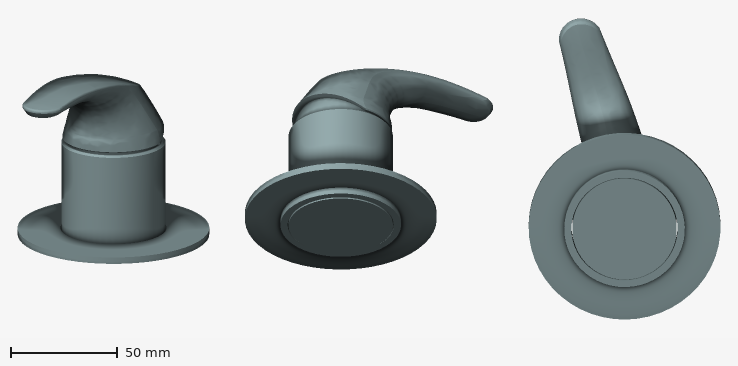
import cadquery as cq
import math

plate_diameter = 90.0
boss_diameter = 56.5
bore_diameter = 49.9
boss_bottom = 0.4
plate_bottom = 3.7
plate_top = 6.8

sleeve_diameter = 49.0
sleeve_top = 50.1
sleeve_chamfer = 0.9
ball_radius = 22.6
ball_center_z = 48.9
skirt_radius = 24.1
skirt_bottom = 51.4
skirt_back_angle = 24.4

lever_reach = 126.2 - plate_diameter / 2
tip_radius = 10.4
nose_z = 87.0
nose_slope = 35.0
crown_radius = 40.4
rim_fillet = 1.1
skirt_chamfer = 0.5

block_size = 75.7
envelope_half_width = 27.8

lever_top = 91.5
crown_top_y = -51.8
swing_radius = 138.9

quarter_pull = 4 / 3 * (math.sqrt(2) - 1)

lever_sections = [
    (0.0, skirt_bottom, 90.0, skirt_radius, skirt_radius, skirt_radius),
    (0.0, 59.8, 85.0, 22.1, 22.0, 24.0),
    (-5.0, 71.0, 75.0, 17.7, 18.0, 20.5),
    (-11.4, 79.5, 70.0, 15.0, 14.5, 18.7),
    (-24.0, 85.0, 57.0, 14.0, 11.4, 13.4),
    (-38.0, 87.4, 35.0, 13.1, 10.1, 7.6),
    (-52.5, 88.2, 6.0, 11.7, 7.6, 5.2),
    (-65.6, 87.7, 0.0, 10.6, 7.6, 4.3),
    (-75.7, 86.7, 0.0, 9.8, 7.6, 2.9),
    (-83.3, 86.1, 0.0, 9.3, 7.6, 0.9),
]


def make_plate():
    boss = (
        cq.Workplane("XY").workplane(offset=boss_bottom)
        .circle(boss_diameter / 2).extrude(plate_bottom - boss_bottom)
    )
    disc = (
        cq.Workplane("XY").workplane(offset=plate_bottom)
        .circle(plate_diameter / 2).extrude(plate_top - plate_bottom)
    )
    bore = cq.Workplane("XY").circle(bore_diameter / 2).extrude(plate_top)
    return disc.union(boss).cut(bore)


def section_wire(y, z, tilt, half_width, height, depth):
    """Two half ellipses that share a width, drawn as four Bezier quarters in a plane tilted about X."""
    lean = math.radians(tilt)
    normal = (0, -math.cos(lean), math.sin(lean))
    plane = cq.Plane(origin=(0, y, z), xDir=(1, 0, 0), normal=normal)
    side = half_width * quarter_pull
    up = height * quarter_pull
    down = depth * quarter_pull
    outline = (
        cq.Workplane(plane)
        .moveTo(half_width, 0)
        .bezier([(half_width, up), (side, height), (0, height)], includeCurrent=True)
        .bezier([(-side, height), (-half_width, up), (-half_width, 0)], includeCurrent=True)
        .bezier([(-half_width, -down), (-side, -depth), (0, -depth)], includeCurrent=True)
        .bezier([(side, -depth), (half_width, -down), (half_width, 0)], includeCurrent=True)
        .wire()
    )
    return outline.val()


def make_lever_blank():
    wires = [section_wire(*section) for section in lever_sections]
    return cq.Workplane(cq.Solid.makeLoft(wires))


def make_crown_envelope():
    """Everything below the upper face, a crown arc swung about an axis parallel to X."""
    drop = crown_radius - math.sqrt(crown_radius**2 - envelope_half_width**2)
    return (
        cq.Workplane("XZ", origin=(0, crown_top_y, lever_top - swing_radius))
        .moveTo(-envelope_half_width, 0)
        .lineTo(-envelope_half_width, swing_radius - drop)
        .threePointArc((0, swing_radius), (envelope_half_width, swing_radius - drop))
        .lineTo(envelope_half_width, 0)
        .close().revolve(360, (0, 0, 0), (1, 0, 0))
    )


def make_tip_envelope():
    """Space behind the round end of the handle, whose wall slopes inwards below the nose."""
    tip_y = tip_radius - lever_reach
    nose_depth = 7.6
    undercut = nose_depth * math.tan(math.radians(nose_slope))
    tip = (
        cq.Workplane("XZ", origin=(0, tip_y, nose_z))
        .moveTo(0, -nose_depth)
        .lineTo(tip_radius - undercut, -nose_depth)
        .lineTo(tip_radius, 0)
        .lineTo(tip_radius, nose_depth)
        .lineTo(0, nose_depth)
        .close().revolve(360, (0, 0, 0), (0, 1, 0))
    )
    rest = (
        cq.Workplane("XY", origin=(0, tip_y, 0))
        .box(2 * block_size, 2 * block_size, 2 * block_size, centered=(True, False, False))
    )
    return rest.union(tip)


def make_skirt_cutter():
    """Space behind and below the skirt, which rises towards the back."""
    back_rise = block_size * math.tan(math.radians(skirt_back_angle))
    return (
        cq.Workplane("YZ").workplane(offset=-block_size)
        .moveTo(-block_size, 0)
        .lineTo(-block_size, skirt_bottom)
        .lineTo(0, skirt_bottom)
        .lineTo(block_size, skirt_bottom + back_rise)
        .lineTo(block_size, 0)
        .close().extrude(2 * block_size)
    )


def make_lever():
    lever = make_lever_blank()
    lever = lever.intersect(make_crown_envelope())
    lever = lever.intersect(make_tip_envelope())
    lever = lever.cut(make_skirt_cutter())
    lever = lever.faces("%TORUS").edges().fillet(rim_fillet)
    return lever.faces("<Z").edges("%BSPLINE").chamfer(skirt_chamfer)


def make_valve_body():
    sleeve = (
        cq.Workplane("XY").circle(sleeve_diameter / 2).extrude(sleeve_top)
        .faces(">Z").chamfer(sleeve_chamfer)
    )
    ball = cq.Workplane("XY").sphere(ball_radius).translate((0, 0, ball_center_z))
    return sleeve.union(ball).union(make_lever())


plate = make_plate()
valve_body = make_valve_body()
result = cq.Compound.makeCompound([plate.val(), valve_body.val()])